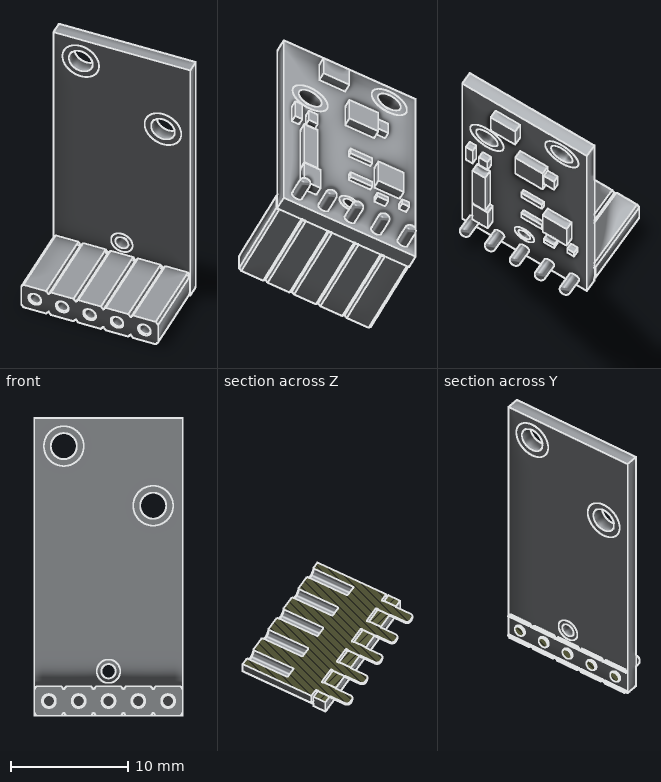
import cadquery as cq

PITCH = 2.54
PIN_COUNT = 5
BOARD_WIDTH = PIN_COUNT * PITCH
BOARD_HEIGHT = 10 * PITCH
BOARD_THICKNESS = 1.2

COPPER_THICKNESS = 0.015
MOUNT_HOLE_DIAMETER = 2.2
MOUNT_PAD_DIAMETER = 3.4
MOUNT_HOLE_X = 1.5 * PITCH
MOUNT_TOP_INSET = 2.4
MOUNT_HOLE_DROP = 2 * PITCH
SMALL_HOLE_Z = 1.5 * PITCH
SMALL_HOLE_DIAMETER = 1.2
SMALL_PAD_DIAMETER = 2.0
PLATED_HOLES = [
    (-MOUNT_HOLE_X, BOARD_HEIGHT - MOUNT_TOP_INSET, MOUNT_HOLE_DIAMETER, MOUNT_PAD_DIAMETER),
    (MOUNT_HOLE_X, BOARD_HEIGHT - MOUNT_TOP_INSET - MOUNT_HOLE_DROP, MOUNT_HOLE_DIAMETER, MOUNT_PAD_DIAMETER),
    (0, SMALL_HOLE_Z, SMALL_HOLE_DIAMETER, SMALL_PAD_DIAMETER),
]

TALL = 0.78
MEDIUM = 0.6
LOW = 0.35
COMPONENTS = [
    (0.44, 2.93, 21.53, 23.98, TALL),
    (-2.36, 0.44, 16.11, 19.08, TALL),
    (-4.80, -2.36, 8.15, 11.26, TALL),
    (3.50, 4.78, 5.82, 11.98, TALL),
    (3.22, 4.78, 2.80, 5.74, TALL),
    (-3.40, -2.36, 16.87, 18.37, MEDIUM),
    (3.37, 4.25, 13.27, 14.77, MEDIUM),
    (4.88, 5.57, 12.92, 15.29, MEDIUM),
    (-5.43, -4.73, 6.50, 7.20, MEDIUM),
    (-3.40, -2.36, 5.90, 6.50, MEDIUM),
    (-2.00, 0.10, 11.35, 12.12, LOW),
    (-2.00, 0.10, 7.55, 8.32, LOW),
]

OVERALL_DEPTH = 10.0
PIN_PROTRUSION = 1.8
PIN_DIAMETER = 1.0
PIN_TIP_RADIUS = 0.35
HEADER_FRONT_Y = PIN_PROTRUSION - OVERALL_DEPTH
HEADER_REAR_Y = -BOARD_THICKNESS
HEADER_LENGTH = HEADER_REAR_Y - HEADER_FRONT_Y
GROOVE_DEPTH = 0.28
GROOVE_HALF_WIDTH = 0.22
RAIL_HEIGHT = 0.22
STANDOFF = 0.18
SOCKET_MOUTH_DIAMETER = 1.2
SOCKET_DIAMETER = 1.0
SOCKET_DEPTH = 4.0
SOCKET_CHAMFER = (SOCKET_MOUTH_DIAMETER - SOCKET_DIAMETER) / 2

ROW_Z = PITCH / 2
PIN_XS = [(i - (PIN_COUNT - 1) / 2) * PITCH for i in range(PIN_COUNT)]
CELL_EDGE_XS = [(i - PIN_COUNT / 2) * PITCH for i in range(PIN_COUNT + 1)]


def box(x_range, y_range, z_range):
    """Box between two limits along each axis."""
    lows, highs = zip(x_range, y_range, z_range)
    size = [high - low for low, high in zip(lows, highs)]
    return cq.Workplane("XY").box(*size, centered=False).translate(lows)


def rod(x, z, diameter, y_start, y_end):
    """Round rod along Y from y_start up to y_end."""
    plane = cq.Plane(origin=(x, y_start, z), xDir=(1, 0, 0), normal=(0, 1, 0))
    return cq.Workplane(plane).circle(diameter / 2).extrude(y_end - y_start)


def make_board():
    """Board with its copper pads, components, plated holes and pin holes."""
    half_width = BOARD_WIDTH / 2
    board = box((-half_width, half_width), (-BOARD_THICKNESS, 0), (0, BOARD_HEIGHT))
    for x, z, _, pad_diameter in PLATED_HOLES:
        pad = rod(x, z, pad_diameter, -BOARD_THICKNESS - COPPER_THICKNESS, COPPER_THICKNESS)
        board = board.union(pad)
    for x_low, x_high, z_low, z_high, height in COMPONENTS:
        component = box((x_low, x_high), (0, height), (z_low, z_high))
        board = board.union(component)
    for x, z, hole_diameter, _ in PLATED_HOLES:
        hole = rod(x, z, hole_diameter, -BOARD_THICKNESS - COPPER_THICKNESS, COPPER_THICKNESS)
        board = board.cut(hole)
    for x in PIN_XS:
        board = board.cut(rod(x, ROW_Z, PIN_DIAMETER, -BOARD_THICKNESS, 0))
    return board


def groove(x, z):
    """Diamond bar centred on an edge line, cutting a vee groove or a corner chamfer along Y."""
    corners = [
        (-GROOVE_HALF_WIDTH, 0),
        (0, GROOVE_DEPTH),
        (GROOVE_HALF_WIDTH, 0),
        (0, -GROOVE_DEPTH),
    ]
    start = cq.Workplane("XZ", origin=(x, HEADER_REAR_Y, z))
    return start.polyline(corners).close().extrude(HEADER_LENGTH)


def make_pin(x):
    """Solder pin reaching from the housing through the board, with a rounded tip."""
    pin = rod(x, ROW_Z, PIN_DIAMETER, HEADER_REAR_Y - STANDOFF, PIN_PROTRUSION)
    return pin.faces(">Y").edges().fillet(PIN_TIP_RADIUS)


def make_socket(x):
    """Blind bore in the front face with a chamfered mouth."""
    bore = rod(x, ROW_Z, SOCKET_DIAMETER, HEADER_FRONT_Y, HEADER_FRONT_Y + SOCKET_DEPTH)
    plane = cq.Plane(origin=(x, HEADER_FRONT_Y, ROW_Z), xDir=(1, 0, 0), normal=(0, 1, 0))
    mouth = (
        cq.Workplane(plane)
        .circle(SOCKET_MOUTH_DIAMETER / 2)
        .workplane(offset=SOCKET_CHAMFER)
        .circle(SOCKET_DIAMETER / 2)
        .loft()
    )
    return bore.union(mouth)


def make_header():
    """Socket strip with grooves between its cells, and its solder pins."""
    half_width = BOARD_WIDTH / 2
    header = box((-half_width, half_width), (HEADER_FRONT_Y, HEADER_REAR_Y), (0, PITCH))
    relief = box(
        (-half_width, half_width),
        (HEADER_REAR_Y - STANDOFF, HEADER_REAR_Y),
        (RAIL_HEIGHT, PITCH - RAIL_HEIGHT),
    )
    header = header.cut(relief)
    for x in CELL_EDGE_XS:
        for z in (0, PITCH):
            header = header.cut(groove(x, z))
    for x in PIN_XS:
        header = header.cut(make_socket(x)).union(make_pin(x))
    return header


board = make_board()
header = make_header()

result = cq.Compound.makeCompound([board.val(), header.val()])